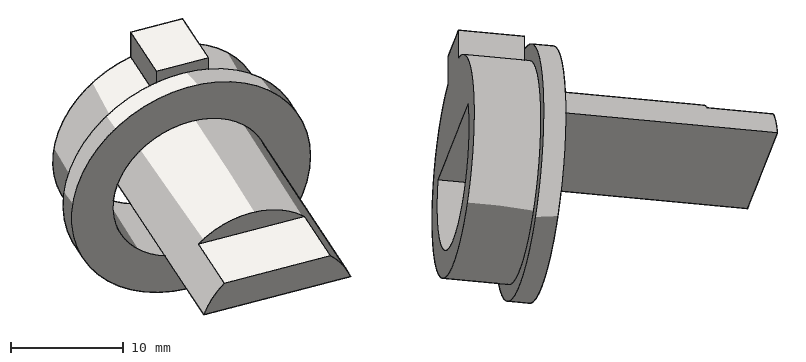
import cadquery as cq

body_diameter = 20.0
body_length = 6.0
flange_diameter = 23.0
flange_thickness = 2.0
bore_diameter = 15.0
bore_flat_z = 2.5
tongue_length = 20.0
tip_length = 6.0
tip_flat_z = 5.5
key_width = 5.0
key_top_z = 12.5

flange_end_x = body_length + flange_thickness
overall_length = flange_end_x + tongue_length


def cylinder_along_x(diameter, start_x, end_x):
    profile = cq.Workplane("YZ").workplane(offset=start_x).circle(diameter / 2)
    return profile.extrude(end_x - start_x)


def block(start_x, end_x, width, bottom_z, top_z):
    """Box centred on Y = 0."""
    box = cq.Workplane("XY").box(end_x - start_x, width, top_z - bottom_z, centered=(False, True, False))
    return box.translate((start_x, 0, bottom_z))


def make_head():
    """Round body with its flange and the key on top."""
    body = cylinder_along_x(body_diameter, 0, body_length)
    flange = cylinder_along_x(flange_diameter, body_length, flange_end_x)
    key = block(0, body_length, key_width, bore_flat_z, key_top_z)
    return body.union(flange).union(key)


def make_core():
    """Round segment above the bore flat: fills the top of the bore and runs on as the tongue."""
    core = cylinder_along_x(bore_diameter, 0, overall_length)
    lower_part = block(0, overall_length, bore_diameter, -bore_diameter / 2, bore_flat_z)
    tip_step = block(overall_length - tip_length, overall_length, bore_diameter, tip_flat_z, bore_diameter / 2)
    return core.cut(lower_part).cut(tip_step)


bore = cylinder_along_x(bore_diameter, 0, flange_end_x)
bore_opening = bore.cut(make_core())

result = make_head().cut(bore_opening).union(make_core())